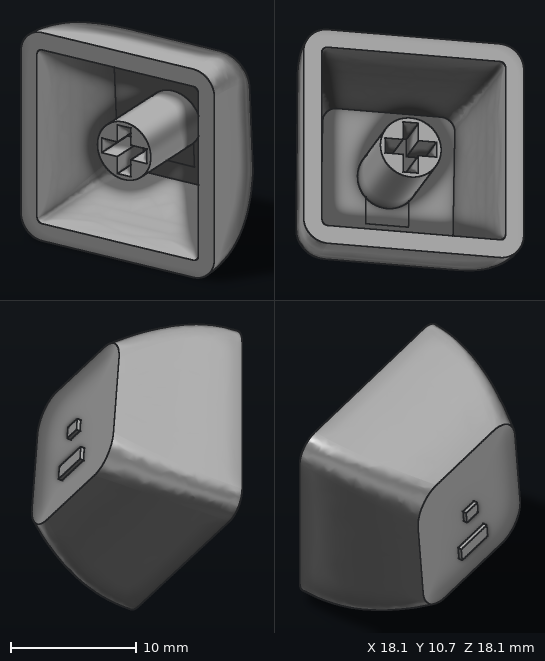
import cadquery as cq
import math

RIM_SIDE = 18.1
RIM_RADIUS = 2.0
CROWN_SIDE = 12.67
CROWN_RADIUS = 2.65
CROWN_HEIGHT = 10.1
CROWN_TILT = 4.0
WALL = 1.5
LEAN = math.radians(CROWN_TILT)

CAVITY_RIM_SIDE = RIM_SIDE - 2 * WALL
CAVITY_RIM_RADIUS = RIM_RADIUS - WALL
CEILING_SIDE = 10.86
CEILING_RADIUS = CROWN_RADIUS - WALL
CEILING_HEIGHT = CROWN_HEIGHT - WALL / math.cos(LEAN)

STEM_DIAMETER = 5.0
STEM_START = 1.0
CROSS_SPAN = 4.24
CROSS_ARM_WIDTH = 1.27
CROSS_DEPTH = 3.98

PLATE_WIDTH = 3.53
PLATE_BOTTOM = -3.9
PLATE_TOP = 1.2
PLATE_THICKNESS = WALL / 2
BAR_RISE = 0.33
UPPER_BAR_WIDTH = 1.45
UPPER_BAR_BOTTOM = -0.18
UPPER_BAR_TOP = 0.9
LOWER_BAR_WIDTH = 3.33
LOWER_BAR_BOTTOM = -3.64
LOWER_BAR_TOP = -2.4


def leaning_plane(height, lean):
    """Plane facing +Y, centred on the Y axis, with its upper edge leaning back toward the rim."""
    normal = (0, math.cos(lean), math.sin(lean))
    return cq.Plane(origin=(0, height, 0), xDir=(-1, 0, 0), normal=normal)


def domed_block(rim_side, rim_radius, end_side, end_radius, height):
    """Block with a flat rim and a leaning end, narrowing with the square of its height."""
    sections = []
    for share in (0, 0.5, 1):
        side = rim_side + (end_side - rim_side) * share**2
        radius = rim_radius + (end_radius - rim_radius) * share**2
        plane = leaning_plane(height * share, LEAN * share)
        section = cq.Sketch().rect(side, side).vertices().fillet(radius)
        sections.append(section.moved(cq.Location(plane)))
    return cq.Workplane().placeSketch(*sections).loft()


def box_on_lean(height, width, bottom, top, thickness):
    """Box on a leaning plane, between two levels along Z; a negative thickness goes toward the rim."""
    middle = (bottom + top) / 2 / math.cos(LEAN)
    length = (top - bottom) / math.cos(LEAN)
    face = cq.Workplane(leaning_plane(height, LEAN)).center(0, middle).rect(width, length)
    return face.extrude(thickness)


def make_stem(cavity):
    """Round stem trimmed to the cavity, so that it ends on the leaning ceiling."""
    start_face = cq.Workplane(leaning_plane(STEM_START, 0))
    stem = start_face.circle(STEM_DIAMETER / 2).extrude(CROWN_HEIGHT - STEM_START).intersect(cavity)
    for width, height in ((CROSS_SPAN, CROSS_ARM_WIDTH), (CROSS_ARM_WIDTH, CROSS_SPAN)):
        stem = stem.cut(start_face.rect(width, height).extrude(CROSS_DEPTH))
    return stem


def make_insert():
    """Plate in the ceiling joined to the bars that pass through the crown."""
    insert = box_on_lean(CEILING_HEIGHT, PLATE_WIDTH, PLATE_BOTTOM, PLATE_TOP, PLATE_THICKNESS)
    bars = (
        (UPPER_BAR_WIDTH, UPPER_BAR_BOTTOM, UPPER_BAR_TOP),
        (LOWER_BAR_WIDTH, LOWER_BAR_BOTTOM, LOWER_BAR_TOP),
    )
    for width, bottom, top in bars:
        raised_part = box_on_lean(CROWN_HEIGHT, width, bottom, top, BAR_RISE)
        buried_part = box_on_lean(CROWN_HEIGHT, width, bottom, top, PLATE_THICKNESS - WALL)
        insert = insert.union(buried_part.union(raised_part))
    return insert.clean()


def make_cap(insert):
    """Hollow cap with its stem, and a recess and openings that match the insert."""
    body = domed_block(RIM_SIDE, RIM_RADIUS, CROWN_SIDE, CROWN_RADIUS, CROWN_HEIGHT)
    cavity = domed_block(CAVITY_RIM_SIDE, CAVITY_RIM_RADIUS, CEILING_SIDE, CEILING_RADIUS, CEILING_HEIGHT)
    return body.cut(cavity).union(make_stem(cavity)).cut(insert)


insert = make_insert()
cap = make_cap(insert)

result = cq.Compound.makeCompound([cap.solids().val(), insert.solids().val()])